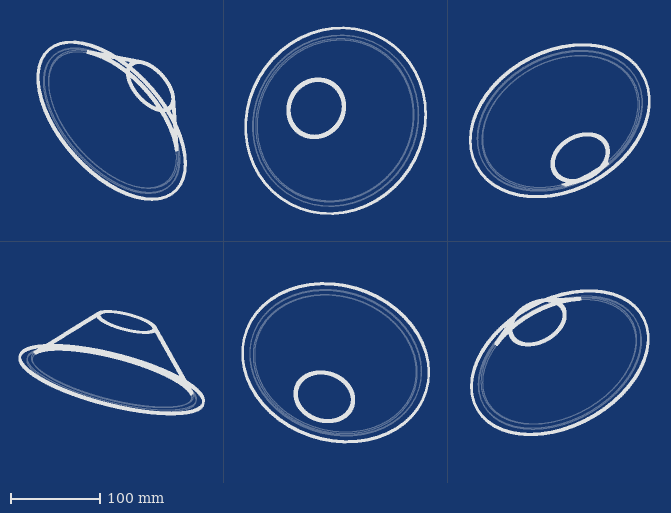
import cadquery as cq
import math

flange_radius = 106.0
height = 70.0
sheet = 2.0
hole_radius = 31.4
inner_corner_radius = 94.1
inner_bend = 7.6
outer_bend = inner_bend - sheet

cone_angle = math.atan2(inner_corner_radius - hole_radius, height)
radial_wall = sheet / math.cos(cone_angle)
slope = math.tan(cone_angle)
outer_corner_radius = inner_corner_radius + radial_wall - sheet * slope


def bend_points(corner_radius, corner_y, bend):
    """Flange end, middle and cone end of the arc rounding a flange-cone corner."""
    turn = math.pi / 2 - cone_angle
    tangent = bend * math.tan(turn / 2)
    start_radius = corner_radius + tangent
    center_y = corner_y + bend

    def arc_point(angle):
        return (start_radius - bend * math.sin(angle), center_y - bend * math.cos(angle))

    return arc_point(0), arc_point(turn / 2), arc_point(turn)


inner_flange, inner_middle, inner_cone = bend_points(inner_corner_radius, 0, inner_bend)
outer_flange, outer_middle, outer_cone = bend_points(outer_corner_radius, sheet, outer_bend)

profile = (
    cq.Workplane("XY")
    .moveTo(flange_radius, 0)
    .lineTo(*inner_flange)
    .threePointArc(inner_middle, inner_cone)
    .lineTo(hole_radius, height)
    .lineTo(hole_radius + radial_wall, height)
    .lineTo(*outer_cone)
    .threePointArc(outer_middle, outer_flange)
    .lineTo(flange_radius, sheet)
    .close()
)

result = profile.revolve(360, (0, 0, 0), (0, 1, 0))